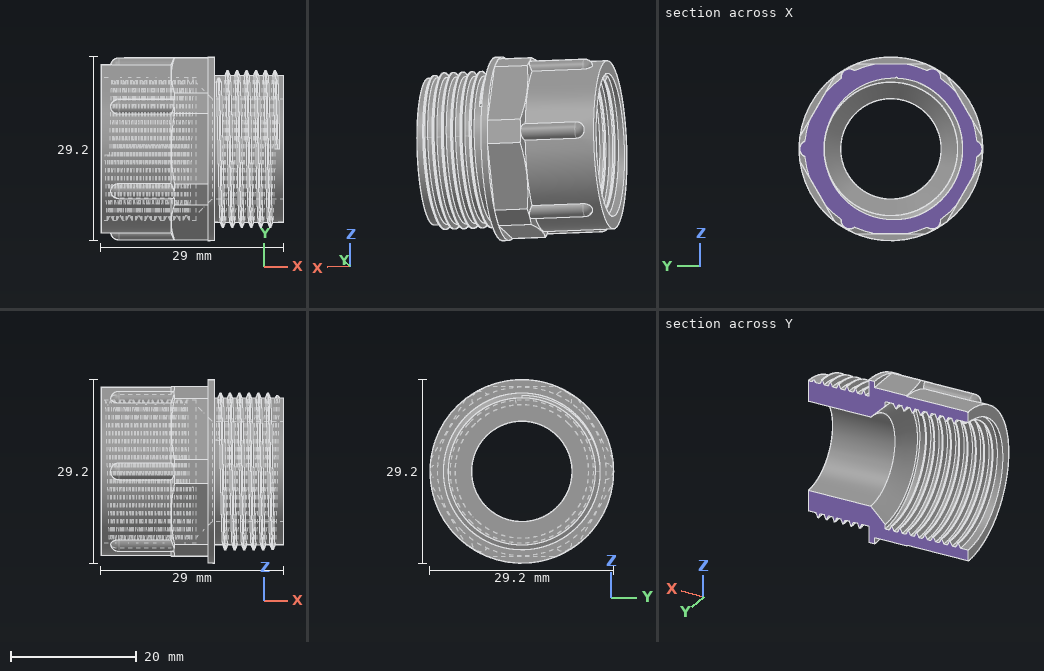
import cadquery as cq
import math

total_length = 29.0
sleeve_radius = 13.393
hex_start = 11.1
hex_chamfer_length = 0.58
hex_chamfer_radius = 14.63
flange_start = 16.97
flange_end = 18.02
flange_radius = 14.6
spigot_radius = 11.7

hex_apothem = 13.5
corner_apothem = 14.5
sides = 6

rib_radius = 1.35
rib_axis_radius = corner_apothem - rib_radius
rib_start = 1.5
rib_end = 11.68

bore_radius = 11.377
bore_depth = 15.05
bore_step = 0.8
passage_radius = 7.96
funnel_radius = bore_radius - bore_step
funnel_end = bore_depth + funnel_radius - passage_radius

pitch = 1.507
ridge_height = 0.75
outer_root_width = 0.88
inner_root_width = 1.02
ridge_crest_width = 0.18
ridge_overlap = 0.1
outer_start = 18.7
outer_start_angle = 25.0
outer_fade_turns = 0.25
outer_end_angle = 90.0
outer_turns = 6 + (outer_end_angle - outer_start_angle) / 360
outer_fade_height = 0.35
inner_start = 1.1
inner_start_angle = 95.0
inner_turns = 8.7
points_per_turn = 24


def cylinder(radius, start, end):
    return cq.Workplane("YZ").workplane(offset=start).circle(radius).extrude(end - start)


def helix_edge(x, radius, angle, turns, end_radius):
    """Smooth helix about X; the angle runs from +Y towards +Z."""
    steps = math.ceil(turns * points_per_turn)
    points = []
    for step in range(steps + 1):
        part = step / steps
        turned = math.radians(angle + 360 * turns * part)
        r = radius + (end_radius - radius) * part
        points.append(cq.Vector(x + pitch * turns * part, r * math.cos(turned), r * math.sin(turned)))
    return cq.Edge.makeSpline(points)


def ridge(x, angle, turns, root_width, foot, crest, end_crest):
    """Helical ridge whose crest radius runs from crest to end_crest."""
    half_foot = root_width / 2
    half_crest = ridge_crest_width / 2
    corners = [
        (-half_foot, foot, foot),
        (-half_crest, crest, end_crest),
        (half_crest, crest, end_crest),
        (half_foot, foot, foot),
    ]
    edges = [helix_edge(x + dx, r, angle, turns, r_end) for dx, r, r_end in corners]
    faces = [cq.Face.makeRuledSurface(edges[i - 1], edges[i]) for i in range(len(edges))]
    for position in (0, 1):
        points = [edge.positionAt(position) for edge in edges]
        faces.append(cq.Face.makeFromWires(cq.Wire.makePolygon(points, close=True)))
    return cq.Solid.makeSolid(cq.Shell.makeShell(faces))


def hexagon():
    """Hexagon with flats on +Z and -Z, trimmed corners and a chamfered front."""
    across = 2 / math.cos(math.pi / sides)
    block = cq.Workplane("YZ").workplane(offset=hex_start)
    block = block.polygon(sides, hex_apothem * across).extrude(flange_start - hex_start)
    trim = cq.Workplane("YZ").workplane(offset=hex_start).transformed(rotate=(0, 0, 180 / sides))
    block = block.intersect(trim.polygon(sides, corner_apothem * across).extrude(flange_start - hex_start))
    chamfer_end = hex_start + hex_chamfer_length
    envelope = (
        cq.Workplane("XY")
        .moveTo(hex_start, 0)
        .lineTo(hex_start, sleeve_radius)
        .lineTo(chamfer_end, hex_chamfer_radius)
        .lineTo(flange_start, hex_chamfer_radius)
        .lineTo(flange_start, 0)
        .close()
        .revolve(360, (0, 0, 0), (1, 0, 0))
    )
    return block.intersect(envelope)


def rib():
    """Round-ended rib along the +Y side of the sleeve."""
    tip_center = rib_start + rib_radius
    bar = cq.Workplane("YZ").workplane(offset=tip_center).center(rib_axis_radius, 0)
    bar = bar.circle(rib_radius).extrude(rib_end - tip_center)
    tip = cq.Workplane("XY").sphere(rib_radius).translate((tip_center, rib_axis_radius, 0))
    return bar.union(tip)


def bore():
    """Threaded bore, shoulder, 45 degree funnel and through passage."""
    return (
        cq.Workplane("XY")
        .lineTo(0, bore_radius)
        .lineTo(bore_depth, bore_radius)
        .lineTo(bore_depth, funnel_radius)
        .lineTo(funnel_end, passage_radius)
        .lineTo(total_length, passage_radius)
        .lineTo(total_length, 0)
        .close()
        .revolve(360, (0, 0, 0), (1, 0, 0))
    )


def outer_thread():
    """Full-height ridge on the spigot, then a stretch that fades out at +Z."""
    foot = spigot_radius - ridge_overlap
    crest = spigot_radius + ridge_height
    full_turns = outer_turns - outer_fade_turns
    main = ridge(outer_start, outer_start_angle, full_turns, outer_root_width, foot, crest, crest)
    fade_start = outer_start + full_turns * pitch
    fade_angle = outer_start_angle + 360 * full_turns
    end_crest = spigot_radius + outer_fade_height
    fade = ridge(fade_start, fade_angle, outer_fade_turns, outer_root_width, foot, crest, end_crest)
    return [main, fade]


def inner_thread():
    foot = bore_radius + ridge_overlap
    crest = bore_radius - ridge_height
    return ridge(inner_start, inner_start_angle, inner_turns, inner_root_width, foot, crest, crest)


body = cylinder(sleeve_radius, 0, flange_start)
body = body.union(hexagon())
for side in range(sides):
    body = body.union(rib().rotate((0, 0, 0), (1, 0, 0), side * 360 / sides))
body = body.union(cylinder(flange_radius, flange_start, flange_end))
body = body.union(cylinder(spigot_radius, flange_end, total_length))
body = body.cut(bore())
for thread in outer_thread():
    body = body.union(cq.Workplane(thread))
result = body.union(cq.Workplane(inner_thread()))